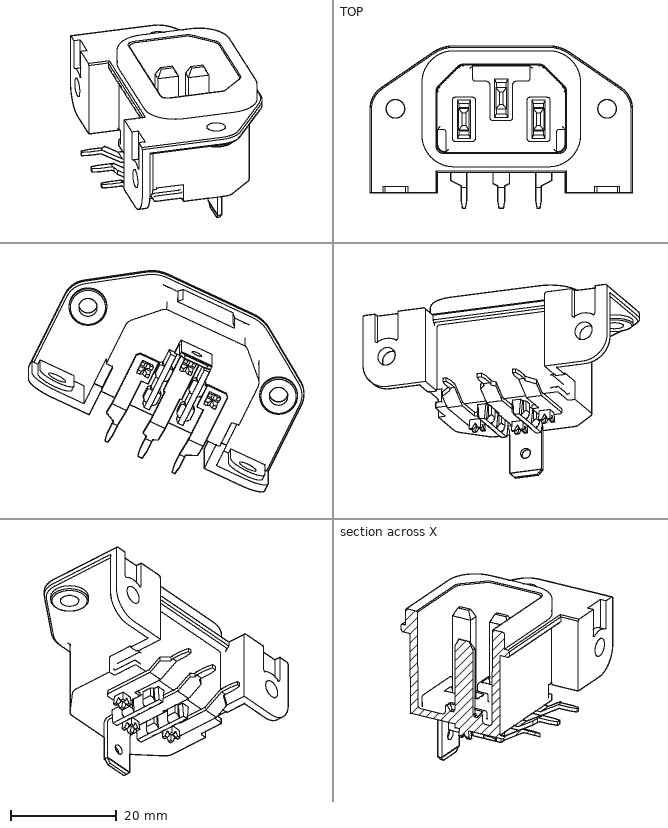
import cadquery as cq
import math


near = 0.05

shroud_length = 29.95
shroud_width = 21.9
shroud_height = 3.4
corner_radius = 6.0
rim_fillet = 0.5
corner_x = shroud_length / 2 - corner_radius
corner_y = shroud_width / 2 - corner_radius

part_length = 49.6
half_length = part_length / 2
flange_back = 11.9
flange_front = -12.05
flange_thickness = 1.65
flange_edge = 0.3
flange_lower_edge = 0.4
flange_root_fillet = 0.45
screw_spacing = 40.0
screw_x = screw_spacing / 2
screw_hole = 3.45
screw_boss = 7.15
boss_depth = 0.95
boss_edge = 0.25
ear_radius = half_length - screw_x
shoulder_radius = flange_back - corner_y

leg_front = -15.85
leg_thickness = 1.55
leg_inner_x = 12.05
leg_bottom = -14.8
leg_radius = 4.95
leg_hole_z = -8.75
nut_width = 4.65
nut_depth = 1.25
nut_floor_radius = screw_boss / 2
nut_corner = 0.4

wall = 1.55
housing_half = 13.9
housing_back = 9.95
housing_front = -9.95
housing_bottom = -18.05
housing_edge_radius = 2.2
cavity_half = housing_half - wall
cavity_back = housing_back - wall
cavity_front = housing_front + wall
cavity_floor = housing_bottom + wall
cavity_chamfer = 4.55
cavity_radius = 1.5
cavity_draft = 0.5
cavity_rim_chamfer = 0.2
cavity_floor_fillet = 0.5
housing_draft = 0.4
pad_half = 5.95
pad_thickness = 0.8
pad_side_chamfer = 0.75
pad_bottom = -8.95
pad_fillet = 0.4

recess_back = -4.65
recess_top = -14.5
recess_x = 11.25
recess_ledge_x = 12.45
recess_ledge_z = -16.9
recess_fillet = 0.3
block_x = 10.45
block_back = -3.85
block_top = leg_bottom + wall

pin_x = 7.05
ground_pin_y = 2.0
line_pin_y = -ground_pin_y
pin_thickness = 2.0
pin_width = 4.0
tip_height = 1.6
ridge_thickness = 0.7
ridge_width = 2.4
line_pin_top = -0.25
ground_pin_top = 2.85
pedestal_length = 8.35
pedestal_width = 4.3
pedestal_height = 2.0
pedestal_top = cavity_floor + pedestal_height
pedestal_radius = 0.5
pedestal_top_fillet = 0.45
pedestal_base_fillet = 0.6
pedestal_inner_radius = 0.7
bar_front = 5.2
bar_half = 5.4
funnel_length = 7.25
funnel_width = 2.5
funnel_depth = 1.0
seat_length = 5.9
seat_width = 1.9
line_shoulder = 4.5
shoulder_height = 0.4

sheet = 0.75
sheet_bottom = housing_bottom - sheet
terminal_end = -18.8
terminal_top = -15.65
rise_start = -10.85
rise_end = -14.85
bend_shift = sheet * math.tan(math.atan2(terminal_top - housing_bottom, rise_start - rise_end) / 2)
ground_blade_half = 0.7
line_blade_half = 0.55
blade_back = -14.6
tip_length = 1.5
tip_inset = 0.25
line_plate_outer = 9.55
line_plate_inner = 5.1
line_plate_back = 0.0
line_plate_front = -13.55
line_plate_step = -4.65
plate_chamfer = 0.55
ground_half = 1.6
ground_plate_front = -14.15
neck_half = 1.95
neck_front = line_plate_step

tab_half = 3.2
tab_back = 5.9
tab_thickness = 0.9
tab_bottom = -28.35
tab_chamfer = 0.9
tab_bevel = 0.125
tab_hole = 1.95
tab_hole_z = -23.9
tab_bend_radius = 1.2

tail_bottom = -20.6
tail_top_width = 2.15
tail_width = 2.4
tail_notch_width = 1.1
tail_notch_depth = 0.95
rib_x = 3.5
rib_root_width = 1.8
rib_tip_width = 1.1
rib_bottom = -20.95
rib_back = 3.0
rib_front = -8.6
clip_width = 2.85
clip_length = 2.65
clip_shoulder_z = -19.85
clip_chamfer = 0.4
clip_ys = (-1.05, -6.25)


def box(x0, x1, y0, y1, z0, z1):
    """Box between two limits on each axis."""
    return cq.Workplane("XY").box(x1 - x0, y1 - y0, z1 - z0, centered=False).translate((x0, y0, z0))


def mirrored(shape):
    """The shape together with its mirror image across X = 0."""
    return shape.union(shape.mirror("YZ"))


def loft_box(x, y, bottom, bottom_size, top, top_size):
    """Straight-sided loft between two rectangles, each size given along X and Y."""
    return (
        cq.Workplane("XY", origin=(x, y, bottom))
        .rect(*bottom_size)
        .workplane(offset=top - bottom)
        .rect(*top_size)
        .loft(ruled=True)
    )


def flange_envelope():
    """Flange outline carried down to the bottom of the legs, with its upper edge chamfered."""
    dx = screw_x - corner_x
    dy = corner_y
    normal = math.acos((shoulder_radius - ear_radius) / math.hypot(dx, dy)) - math.atan2(dy, dx)

    def on_shoulder(angle):
        return (corner_x + shoulder_radius * math.cos(angle), corner_y + shoulder_radius * math.sin(angle))

    def on_ear(angle):
        return (screw_x + ear_radius * math.cos(angle), ear_radius * math.sin(angle))

    half = (
        cq.Workplane("XY")
        .moveTo(0, flange_front)
        .lineTo(0, flange_back)
        .lineTo(*on_shoulder(math.pi / 2))
        .threePointArc(on_shoulder((math.pi / 2 + normal) / 2), on_shoulder(normal))
        .lineTo(*on_ear(normal))
        .threePointArc(on_ear(normal / 2), on_ear(0))
        .lineTo(half_length, leg_front)
        .lineTo(leg_inner_x, leg_front)
        .lineTo(leg_inner_x, flange_front)
        .close()
        .extrude(leg_bottom)
    )
    front_edges = cq.selectors.BoxSelector(
        (-part_length, leg_front - 0.5, -0.5), (part_length, leg_front + 0.5, 0.5)
    )
    top_edges = mirrored(half).clean().faces(">Z").edges()
    return top_edges.edges(-front_edges).chamfer(flange_edge)


def nut_pocket():
    """Pocket in the front of the +X leg; its floor follows a circle around the screw hole."""
    half = nut_width / 2
    edge = half - nut_corner
    side_z = leg_hole_z + math.sqrt(nut_floor_radius ** 2 - edge ** 2)
    return (
        cq.Workplane("XZ", origin=(screw_x, leg_front, 0))
        .moveTo(-half, 0)
        .lineTo(-half, side_z + nut_corner)
        .radiusArc((-edge, side_z), -nut_corner)
        .threePointArc((0, leg_hole_z + nut_floor_radius), (edge, side_z))
        .radiusArc((half, side_z + nut_corner), -nut_corner)
        .lineTo(half, 0)
        .close()
        .extrude(-nut_depth)
    )


def flange_and_legs():
    """Flange plate and the two screw legs, with their bosses and nut pockets."""
    envelope = flange_envelope()
    flange = envelope.intersect(box(-half_length, half_length, leg_front, flange_back, -flange_thickness, 0))
    flange = flange.faces("<Z").edges("not <Y").chamfer(flange_lower_edge)
    leg_back = leg_front + leg_thickness
    leg = box(leg_inner_x, half_length, leg_front, leg_back, leg_bottom, 0)
    leg = leg.edges("|Y and >X and <Z").fillet(leg_radius).intersect(envelope)

    flange_boss = cq.Workplane("XY", origin=(screw_x, 0, -flange_thickness - boss_depth))
    flange_boss = flange_boss.circle(screw_boss / 2).extrude(boss_depth + 0.5)
    flange_boss = flange_boss.faces("<Z").edges().chamfer(boss_edge)
    boss_back = leg_back + boss_depth
    leg_boss = cq.Workplane("XZ", origin=(screw_x, boss_back, leg_hole_z)).circle(screw_boss / 2)
    leg_boss = leg_boss.extrude(boss_depth + 0.5).union(
        box(
            screw_x - screw_boss / 2, screw_x + screw_boss / 2,
            leg_back - 0.5, boss_back,
            leg_hole_z, -flange_thickness / 2,
        )
    )
    sides = leg.union(flange_boss).union(leg_boss)
    return flange.union(mirrored(sides)).cut(mirrored(nut_pocket()))


def screw_holes():
    """Screw holes through the flange and through the legs."""
    flange_hole = cq.Workplane("XY", origin=(screw_x, 0, 0.5)).circle(screw_hole / 2).extrude(leg_bottom)
    leg_hole = cq.Workplane("XZ", origin=(screw_x, leg_front + 2 * leg_thickness, leg_hole_z))
    leg_hole = leg_hole.circle(screw_hole / 2).extrude(3 * leg_thickness)
    return mirrored(flange_hole.union(leg_hole))


def shroud():
    """Rounded block above the flange."""
    body = box(
        -shroud_length / 2, shroud_length / 2,
        -shroud_width / 2, shroud_width / 2,
        -flange_thickness, shroud_height,
    )
    return body.edges("|Z").fillet(corner_radius).faces(">Z").edges().fillet(rim_fillet)


def housing():
    """Housing below the flange, with webs to the legs and a pad on its back."""
    chamfer = cavity_chamfer + wall * (2 - math.sqrt(2))
    body = box(-housing_half, housing_half, housing_front, housing_back, housing_bottom, -0.5)
    body = body.edges("|Z and >Y").chamfer(chamfer)
    body = body.edges("|Z and (not <Y)").fillet(housing_edge_radius)
    lean = math.tan(math.radians(housing_draft)) * -housing_bottom
    drafted_side = (
        cq.Workplane("YZ", origin=(-part_length / 2, 0, 0))
        .polyline([
            (housing_front, 0),
            (housing_back, 0),
            (housing_back - lean, housing_bottom),
            (housing_front, housing_bottom),
        ])
        .close()
        .extrude(part_length)
    )
    body = body.intersect(drafted_side)
    web = box(leg_inner_x, housing_half, leg_front + 0.5, housing_front + 0.5, leg_bottom, -0.5)
    pad = box(-pad_half, pad_half, housing_back - 0.5, housing_back + pad_thickness, pad_bottom, -0.5)
    pad = pad.edges("|Z and >Y").chamfer(pad_side_chamfer).edges("|X and >Y and <Z").fillet(pad_fillet)
    return body.union(mirrored(web)).union(pad)


def corner_recess():
    """Stepped recess under the +X front corner of the housing."""
    outside = housing_half + 0.5
    front = housing_front
    upper = box(recess_x, outside, front, recess_back, recess_ledge_z, recess_top)
    lower = box(recess_ledge_x, outside, front, recess_back, housing_bottom - 0.5, recess_top)
    recess = upper.union(lower).clean()
    return recess.faces(">Y").edges("not >X").fillet(recess_fillet)


def cavity():
    """Drafted cavity with cut back corners, a chamfered rim and a filleted floor."""
    def outline(inset):
        half = cavity_half - inset
        front = cavity_front + inset
        back = cavity_back - inset
        chamfer = cavity_chamfer - inset * (2 - math.sqrt(2))
        return (
            cq.Sketch()
            .polygon([
                (-half, front),
                (half, front),
                (half, back - chamfer),
                (half - chamfer, back),
                (chamfer - half, back),
                (-half, back - chamfer),
                (-half, front),
            ])
            .vertices()
            .fillet(cavity_radius)
        )

    top = cq.Workplane("XY", origin=(0, 0, shroud_height))
    depth = shroud_height - cavity_floor
    pocket = top.placeSketch(outline(cavity_rim_chamfer)).extrude(-depth, taper=cavity_draft)
    pocket = pocket.faces("<Z").edges().fillet(cavity_floor_fillet)
    rim = top.placeSketch(outline(0)).extrude(-2 * cavity_rim_chamfer, taper=45)
    return pocket.union(rim)


def rise_from_floor(prism):
    """Blend an upright prism into a slab just under the cavity floor, and round its top edges."""
    slab = box(
        -cavity_half + cavity_floor_fillet, cavity_half - cavity_floor_fillet,
        cavity_front + cavity_floor_fillet, cavity_back - cavity_floor_fillet,
        cavity_floor - 0.5, cavity_floor,
    )
    raised = prism.faces(">Z").edges().fillet(pedestal_top_fillet).union(slab)
    margin = 2 * cavity_floor_fillet
    foot = cq.selectors.BoxSelector(
        (-cavity_half + margin, cavity_front + margin, cavity_floor - near),
        (cavity_half - margin, cavity_back - margin, cavity_floor + near),
    )
    return raised.edges(foot).fillet(pedestal_base_fillet)


def pedestals():
    """Raised surrounds of the pins, and the blocks over the corner recesses."""
    bottom = cavity_floor - 0.5
    half_width = pedestal_width / 2
    half_length_y = pedestal_length / 2

    line = box(
        pin_x - half_width, pin_x + half_width,
        line_pin_y - half_length_y, line_pin_y + half_length_y,
        bottom, pedestal_top,
    ).edges("|Z").fillet(pedestal_radius)

    back = housing_back - 0.5
    stem = box(-half_width, half_width, ground_pin_y - half_length_y, back, bottom, pedestal_top)
    bar = box(-bar_half, bar_half, bar_front, back, bottom, pedestal_top)
    inner_corners = cq.selectors.BoxSelector(
        (-half_width - 0.5, bar_front - 0.5, bottom), (half_width + 0.5, bar_front + 0.5, pedestal_top)
    )
    ground = stem.union(bar)
    ground = ground.edges("|Z").edges(inner_corners).fillet(pedestal_inner_radius)
    ground = ground.edges("|Z and <Y").fillet(pedestal_radius)
    bar_corners = cq.selectors.BoxSelector(
        (-bar_half - 0.5, bar_front - 0.5, bottom), (bar_half + 0.5, bar_front + near, pedestal_top)
    )
    ground = ground.edges("|Z and (<X or >X)").edges(bar_corners).fillet(pedestal_radius)

    block = box(block_x, cavity_half + 0.5, cavity_front - 0.5, block_back, bottom, block_top)
    block = block.edges("|Z and <X and >Y").fillet(pedestal_radius)

    sides = rise_from_floor(line).union(rise_from_floor(block))
    inside_walls = box(-housing_half, housing_half, housing_front, housing_back - 0.5, bottom, 0)
    inside_walls = inside_walls.edges("|Z and >Y").chamfer(cavity_chamfer + wall)
    return mirrored(sides).union(rise_from_floor(ground)).intersect(inside_walls)


def funnel(x, y):
    """Sloped opening in a pedestal around one pin."""
    bottom = pedestal_top - funnel_depth
    return loft_box(x, y, bottom, (seat_width, seat_length), pedestal_top, (funnel_width, funnel_length))


def pin(x, y, top):
    """Flat contact pin with a pyramidal tip, ending in a cross-notched tail below the sheet."""
    tip_base = top - tip_height
    blade = box(
        x - pin_thickness / 2, x + pin_thickness / 2,
        y - pin_width / 2, y + pin_width / 2,
        cavity_floor, tip_base,
    )
    tip = loft_box(x, y, tip_base, (pin_thickness, pin_width), top, (ridge_thickness, ridge_width))
    tail = loft_box(x, y, tail_bottom, (tail_width,) * 2, sheet_bottom, (tail_top_width,) * 2)
    notch = (
        cq.Workplane("XZ")
        .polyline([(-tail_notch_width / 2, 0), (0, tail_notch_depth), (tail_notch_width / 2, 0)])
        .close()
        .extrude(tail_width, both=True)
    )
    for angle in (0, 90):
        tail = tail.cut(notch.rotate((0, 0, 0), (0, 0, 1), angle).translate((x, y, tail_bottom)))
    return blade.union(tip).union(tail)


def line_shoulder_step():
    """Low step at the foot of the +X line pin."""
    base = pedestal_top - funnel_depth
    return box(
        pin_x - seat_width / 2, pin_x + seat_width / 2,
        line_pin_y - line_shoulder / 2, line_pin_y + line_shoulder / 2,
        base - 0.5, base + shoulder_height,
    )


def bent_sheet(outline):
    """Sheet metal of the given plan outline, flat under the housing and cranked up at the front."""
    profile = (
        cq.Workplane("YZ", origin=(-half_length, 0, 0))
        .polyline([
            (tab_back, housing_bottom),
            (rise_start, housing_bottom),
            (rise_end, terminal_top),
            (terminal_end, terminal_top),
            (terminal_end, terminal_top - sheet),
            (rise_end - bend_shift, terminal_top - sheet),
            (rise_start - bend_shift, sheet_bottom),
            (tab_back, sheet_bottom),
        ])
        .close()
        .extrude(part_length)
    )
    plan = cq.Workplane("XY", origin=(0, 0, tab_bottom)).polyline(outline).close().extrude(-tab_bottom)
    return profile.intersect(plan)


def blade_end(x, half):
    """Plan points of a tapered blade end, from its +X side to its -X side."""
    taper_y = terminal_end + tip_length
    return [
        (x + half, taper_y),
        (x + half - tip_inset, terminal_end),
        (x - half + tip_inset, terminal_end),
        (x - half, taper_y),
    ]


def line_terminal():
    """Terminal of the +X line pin; its plate tapers to the blade on the outer side only."""
    inner = pin_x - line_blade_half
    return bent_sheet([
        (line_plate_inner, line_plate_back),
        (line_plate_outer - plate_chamfer, line_plate_back),
        (line_plate_outer, line_plate_back - plate_chamfer),
        (line_plate_outer, line_plate_front),
        (pin_x + line_blade_half, blade_back),
        *blade_end(pin_x, line_blade_half),
        (inner, line_plate_step),
        (line_plate_inner, line_plate_step),
    ])


def ground_terminal():
    """Ground terminal with its quick-connect tab bent down at the back."""
    plate = bent_sheet([
        (-tab_half, tab_back),
        (tab_half, tab_back),
        (tab_half, rib_back),
        (neck_half, rib_back),
        (neck_half, neck_front),
        (ground_half, neck_front),
        (ground_half, ground_plate_front),
        (ground_blade_half, blade_back),
        *blade_end(0, ground_blade_half),
        (-ground_blade_half, blade_back),
        (-ground_half, ground_plate_front),
        (-ground_half, neck_front),
        (-neck_half, neck_front),
        (-neck_half, rib_back),
        (-tab_half, rib_back),
    ])
    tab_front = tab_back - tab_thickness
    tab = box(-tab_half, tab_half, tab_front, tab_back, tab_bottom, housing_bottom)
    tab = tab.edges("|Y and <Z").chamfer(tab_chamfer)
    bevel = box(-tab_half, tab_half, tab_front, tab_front + tab_bevel, tab_bottom, tab_bottom + tab_chamfer)
    hole = cq.Workplane("XZ", origin=(0, tab_back + 0.5, tab_hole_z)).circle(tab_hole / 2)
    hole = hole.extrude(2 * tab_thickness)
    tab = tab.cut(bevel).cut(bevel.translate((0, tab_thickness - tab_bevel, 0))).cut(hole)
    bent = plate.union(tab).edges(">Y").edges("|X and >Z").fillet(tab_bend_radius)
    inner_bend = cq.selectors.BoxSelector(
        (-tab_half, tab_front - near, sheet_bottom - near), (tab_half, tab_front + near, sheet_bottom + near)
    )
    return bent.edges("|X").edges(inner_bend).fillet(tab_bend_radius - sheet)


def guide_rib():
    """Tapered rib under the +X half of the housing, with two wider clips along it."""
    root = housing_bottom + 0.5

    def prism(right, length, back):
        left = [(-x, z) for x, z in reversed(right)]
        return (
            cq.Workplane("XZ", origin=(rib_x, back, 0))
            .polyline(right + left)
            .close()
            .extrude(length)
        )

    tip = (rib_tip_width / 2, rib_bottom)
    rib = prism([(rib_root_width / 2, root), tip], rib_back - rib_front, rib_back)
    half_width = clip_width / 2
    half_length_y = clip_length / 2
    for y in clip_ys:
        clip = prism([(half_width, root), (half_width, clip_shoulder_z), tip], clip_length, y + half_length_y)
        plan = box(
            rib_x - half_width, rib_x + half_width,
            y - half_length_y, y + half_length_y,
            rib_bottom, root,
        ).edges("|Z").chamfer(clip_chamfer)
        rib = rib.union(clip.intersect(plan))
    return rib


shell = flange_and_legs().union(shroud()).union(housing())
root_edges = cq.selectors.BoxSelector(
    (-housing_half - near, leg_front, -flange_thickness - near),
    (housing_half + near, housing_back, -flange_thickness + near),
)
shell = shell.edges("|Y").edges(root_edges).fillet(flange_root_fillet)
shell = shell.cut(cavity()).cut(screw_holes())

inside = pedestals()
for x, y in ((-pin_x, line_pin_y), (pin_x, line_pin_y), (0, ground_pin_y)):
    inside = inside.cut(funnel(x, y))

result = shell.union(inside).cut(mirrored(corner_recess()))
for side in (-1, 1):
    mouth = cq.selectors.BoxSelector(
        (side * (recess_x - near), housing_front - near, housing_bottom + near),
        (side * (recess_ledge_x + near), housing_front + near, recess_top - near),
    )
    result = result.edges(mouth).fillet(recess_fillet)
result = result.union(mirrored(pin(pin_x, line_pin_y, line_pin_top)))
result = result.union(pin(0, ground_pin_y, ground_pin_top))
result = result.union(mirrored(line_shoulder_step()))
result = result.union(mirrored(line_terminal())).union(ground_terminal()).union(mirrored(guide_rib()))